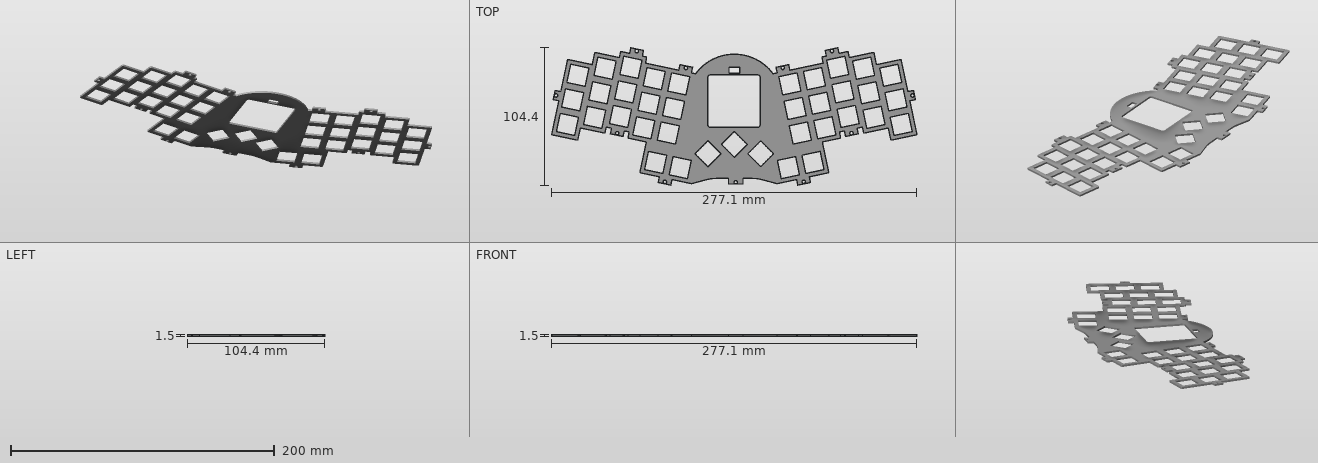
import cadquery as cq
import math


thickness = 1.5
tilt_deg = -12.0

key_pitch = 19.05
key_hole = 14.0
key_border = 3.22
key_block_half = key_hole / 2 + key_border
corner_radius = 0.8
rows = 3
inner_u = -46.35
home_v = -3.64
column_stagger = [-key_pitch / 2, 0.0, key_pitch / 4, 0.0, 0.0]
last_column = len(column_stagger) - 1
column_groups = [(0, 0), (1, 1), (2, 2), (3, 4)]
thumb_u = [inner_u - key_pitch / 4, inner_u + key_pitch * 3 / 4]
thumb_v = home_v - key_pitch * 9 / 4
thumb_bottom = thumb_v - key_block_half
thumb_edge_end_u = -21.1

dome_top_y = 47.35
dome_radius = 36.5
bottom_edge_y = -47.05
bottom_bend_x = 17.5
bottom_bend_radius = 30.0

screen_size = 39.6
screen_x = -0.25
screen_y = 11.65
screen_corner_radius = 1.8
slot_length = 8.0
slot_width = 4.4
slot_y = 35.1

button_hole = 13.8
button_centres = [(-20.0, -28.3), (0.0, -21.2), (20.0, -28.3)]

screw_diameter = 2.5
tab_reach = 4.36
tab_overlap = 1.5
screw_inset = 1.6
tab_width = 10.0
high_column = 2
high_column_top_tab_u = -82.7
inner_column_tab_u = -43.6
high_column_bottom_tab_u = -84.3
thumb_tab_u = -41.2
side_tab_v = -12.5
side_tab_width = 7.3
bottom_tab_x = 1.1
bottom_tab_width = 11.3


def column_u(column):
    return inner_u - (last_column - column) * key_pitch


def column_top(column):
    return home_v + column_stagger[column] + key_pitch + key_block_half


def column_bottom(column):
    return home_v + column_stagger[column] - key_pitch - key_block_half


outer_edge_u = column_u(0) - key_block_half


def tilted_to_plate(u, v):
    """Plate coordinates of a point given in the tilted frame of the left half."""
    angle = math.radians(tilt_deg)
    return (
        u * math.cos(angle) - v * math.sin(angle),
        u * math.sin(angle) + v * math.cos(angle),
    )


def both_halves(tilted_shape):
    """Turn a shape from the tilted frame into the left half and add its mirror image."""
    left = tilted_shape.rotate((0, 0, 0), (0, 0, 1), tilt_deg)
    return left.union(left.mirror("YZ"))


def slab(x_min, x_max, y_min, y_max):
    width = x_max - x_min
    height = y_max - y_min
    return (
        cq.Workplane("XY")
        .center(x_min + width / 2, y_min + height / 2)
        .rect(width, height)
        .extrude(thickness)
    )


def rounded_slab(x_min, x_max, y_min, y_max):
    return slab(x_min, x_max, y_min, y_max).edges("|Z").fillet(corner_radius)


def screw_holes(centres):
    return cq.Workplane("XY").pushPoints(centres).circle(screw_diameter / 2).extrude(thickness)


def key_field():
    """Blocks around the key columns and the thumb keys, in the tilted frame."""
    field = rounded_slab(
        thumb_u[0] - key_block_half,
        thumb_u[1] + key_block_half,
        thumb_bottom,
        home_v - key_pitch,
    )
    for first, last in column_groups:
        block = rounded_slab(
            column_u(first) - key_block_half,
            column_u(last) + key_block_half,
            column_bottom(first),
            column_top(first),
        )
        field = field.union(block)
    return field


def key_holes():
    """Switch openings, in the tilted frame."""
    centres = [(u, thumb_v) for u in thumb_u]
    for column, stagger in enumerate(column_stagger):
        for row in range(rows):
            row_offset = (row - (rows - 1) / 2) * key_pitch
            centres.append((column_u(column), home_v + stagger + row_offset))
    return cq.Workplane("XY").pushPoints(centres).rect(key_hole, key_hole).extrude(thickness)


def top_or_bottom_tab(u, edge_v, outward, width):
    """Tab on an edge of constant v; outward is +1 for an upper edge and -1 for a lower one."""
    tip_v = edge_v + outward * tab_reach
    root_v = edge_v - outward * tab_overlap
    tab = slab(u - width / 2, u + width / 2, min(tip_v, root_v), max(tip_v, root_v))
    return tab.cut(screw_holes([(u, tip_v - outward * screw_inset)]))


def side_tab():
    tip_u = outer_edge_u - tab_reach
    half_width = side_tab_width / 2
    tab = slab(tip_u, outer_edge_u + tab_overlap, side_tab_v - half_width, side_tab_v + half_width)
    return tab.cut(screw_holes([(tip_u + screw_inset, side_tab_v)]))


def key_field_tabs():
    """Screw tabs around the key field, in the tilted frame."""
    return (
        side_tab()
        .union(top_or_bottom_tab(high_column_top_tab_u, column_top(high_column), 1, tab_width))
        .union(top_or_bottom_tab(inner_column_tab_u, column_top(last_column), 1, tab_width))
        .union(top_or_bottom_tab(high_column_bottom_tab_u, column_bottom(high_column), -1, tab_width))
        .union(top_or_bottom_tab(thumb_tab_u, thumb_bottom, -1, tab_width))
    )


def dome_foot():
    """Where the dome meets the top edge of the inner key columns on the left half."""
    angle = math.radians(tilt_deg)
    edge_v = column_top(last_column)
    centre_y = dome_top_y - dome_radius
    centre_u = centre_y * math.sin(angle)
    centre_v = centre_y * math.cos(angle)
    foot_u = centre_u - math.sqrt(dome_radius**2 - (edge_v - centre_v) ** 2)
    return tilted_to_plate(foot_u, edge_v)


def centre_body():
    """Body under the dome; its sides run inside the key fields."""
    foot_x, foot_y = dome_foot()
    shoulder_x, shoulder_y = tilted_to_plate(inner_u, column_top(last_column))
    waist_x, waist_y = tilted_to_plate(thumb_u[0], thumb_v)
    edge_x, edge_y = tilted_to_plate(thumb_u[1], thumb_bottom)
    tip_x, tip_y = tilted_to_plate(thumb_edge_end_u, thumb_bottom)
    body = (
        cq.Workplane("XY")
        .moveTo(foot_x, foot_y)
        .threePointArc((0, dome_top_y), (-foot_x, foot_y))
        .lineTo(-shoulder_x, shoulder_y)
        .lineTo(-waist_x, waist_y)
        .lineTo(-edge_x, edge_y)
        .lineTo(-tip_x, tip_y)
        .lineTo(bottom_bend_x, bottom_edge_y)
        .lineTo(-bottom_bend_x, bottom_edge_y)
        .lineTo(tip_x, tip_y)
        .lineTo(edge_x, edge_y)
        .lineTo(waist_x, waist_y)
        .lineTo(shoulder_x, shoulder_y)
        .close()
        .extrude(thickness)
    )
    for x in (-bottom_bend_x, bottom_bend_x):
        bend = cq.selectors.NearestToPointSelector((x, bottom_edge_y, thickness / 2))
        body = body.edges("|Z").edges(bend).fillet(bottom_bend_radius)
    return body


def screen_window():
    return (
        cq.Workplane("XY")
        .center(screen_x, screen_y)
        .rect(screen_size, screen_size)
        .extrude(thickness)
        .edges("|Z")
        .fillet(screen_corner_radius)
    )


def cable_slot():
    return cq.Workplane("XY").center(0, slot_y).rect(slot_length, slot_width).extrude(thickness)


def button_holes():
    diagonal = button_hole * math.sqrt(2)
    return cq.Workplane("XY").pushPoints(button_centres).polygon(4, diagonal).extrude(thickness)


result = (
    centre_body()
    .union(both_halves(key_field()))
    .union(both_halves(key_field_tabs()))
    .union(top_or_bottom_tab(bottom_tab_x, bottom_edge_y, -1, bottom_tab_width))
    .cut(both_halves(key_holes()))
    .cut(screen_window())
    .cut(cable_slot())
    .cut(button_holes())
    .solids()
)